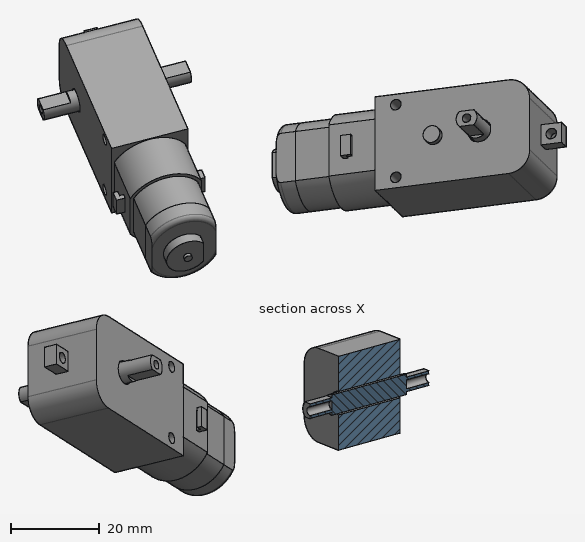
import cadquery as cq


tab_length = 4.9
tab_width = 3.2
tab_height = 4.85
block_end_x = 42.0
block_width = 18.15
block_height = 22.5
block_corner_radius = 5.05
mount_hole_diameter = 2.5
mount_hole_x = 37.0
mount_hole_z = 8.7

peg_diameter = 4.0
peg_length = 1.45
peg_x = 27.9

axle_x = 17.0
axle_diameter = 5.0
axle_bore_diameter = 5.5
axle_length = 35.0
axle_flat_length = 6.5
axle_flat_thickness = 3.6
axle_end_hole_diameter = 2.0

can_end_x = 61.6
cap_end_x = 66.25
motor_width = 15.25
motor_arc_radius = 8.95
motor_arc_offset = 1.25
cap_fillet = 1.1

collar_end_x = 53.3
collar_wall = 0.8

hook_end_x = 49.75
hook_length = 2.4
hook_height = 4.85
hook_reach = 2.1
hook_thickness = 1.1

boss_end_x = 68.55
boss_diameter = 9.85
boss_flat_y = 3.9
motor_shaft_end_x = 69.3
motor_shaft_diameter = 1.9


def box_between(x_start, x_end, width, height):
    """Box centred on the X axis."""
    return cq.Workplane("YZ", origin=(x_start, 0, 0)).rect(width, height).extrude(x_end - x_start)


def cylinder_along_y(x, z, diameter, y_start, y_end):
    """Round bar parallel to Y."""
    plane = cq.Plane(origin=(x, y_start, z), xDir=(1, 0, 0), normal=(0, 1, 0))
    return cq.Workplane(plane).circle(diameter / 2).extrude(y_end - y_start)


def flat_sided_bar(x_start, x_end, width, arc_radius, end_fillet=0):
    """Bar with rounded top and bottom and flat sides; only the rounded end edges are filleted."""
    height = 2 * (motor_arc_offset + arc_radius)
    bar = (
        cq.Workplane("YZ", origin=(x_start, 0, 0))
        .slot2D(height, 2 * arc_radius, 90)
        .extrude(x_end - x_start)
    )
    if end_fillet:
        bar = bar.faces(">X").edges().fillet(end_fillet)
    return bar.intersect(box_between(x_start, x_end, width, height))


def make_hook(side):
    """L-shaped strap hook on one flat of the collar; side is +1 or -1 along Y."""
    root_y = motor_width / 2 + collar_wall
    tip_y = root_y + hook_reach
    hook_start_x = hook_end_x - hook_length
    stem_start_x = hook_end_x - hook_thickness
    lip_y = tip_y - hook_thickness
    outline = [
        (hook_end_x, side * root_y),
        (hook_end_x, side * tip_y),
        (hook_start_x, side * tip_y),
        (hook_start_x, side * lip_y),
        (stem_start_x, side * lip_y),
        (stem_start_x, side * root_y),
    ]
    return cq.Workplane("XY").polyline(outline).close().extrude(hook_height / 2, both=True)


def make_housing():
    """Gearbox block with its tab, peg, motor collar and strap hooks."""
    half_width = block_width / 2
    housing = box_between(tab_length, block_end_x, block_width, block_height)
    housing = housing.edges("|Y and <X").fillet(block_corner_radius)
    housing = housing.union(box_between(0, tab_length, tab_width, tab_height))
    housing = housing.union(cylinder_along_y(peg_x, 0, peg_diameter, half_width, half_width + peg_length))
    collar_width = motor_width + 2 * collar_wall
    collar_radius = motor_arc_radius + collar_wall
    housing = housing.union(flat_sided_bar(block_end_x, collar_end_x, collar_width, collar_radius))
    for side in (-1, 1):
        housing = housing.union(make_hook(side))

    mount_holes = [(tab_length / 2, 0), (mount_hole_x, mount_hole_z), (mount_hole_x, -mount_hole_z)]
    for x, z in mount_holes:
        housing = housing.cut(cylinder_along_y(x, z, mount_hole_diameter, -half_width, half_width))
    return housing.cut(cylinder_along_y(axle_x, 0, axle_bore_diameter, -half_width, half_width))


def make_axle():
    """Double-ended axle with two flats and a blind centre hole at each end."""
    half_length = axle_length / 2
    axle = cylinder_along_y(axle_x, 0, axle_diameter, -half_length, half_length)
    for side in (-1, 1):
        end_y = side * half_length
        inner_y = side * (half_length - axle_flat_length)
        end_section = cylinder_along_y(axle_x, 0, axle_diameter, inner_y, end_y)
        flats = cq.Workplane("XY").box(axle_diameter, axle_length, axle_flat_thickness)
        axle = axle.cut(end_section.cut(flats.translate((axle_x, 0, 0))))
        axle = axle.cut(cylinder_along_y(axle_x, 0, axle_end_hole_diameter, inner_y, end_y))
    return axle


def make_motor_can():
    """Motor can between the collar and the end cap."""
    return flat_sided_bar(collar_end_x, can_end_x, motor_width, motor_arc_radius)


def make_motor_shaft():
    """Motor shaft, from the can through the cap to its free end."""
    length = motor_shaft_end_x - can_end_x
    return cq.Workplane("YZ", origin=(can_end_x, 0, 0)).circle(motor_shaft_diameter / 2).extrude(length)


def make_end_cap():
    """End cap with its single-flat boss, bored for the motor shaft."""
    cap = flat_sided_bar(can_end_x, cap_end_x, motor_width, motor_arc_radius, cap_fillet)
    boss_length = boss_end_x - cap_end_x
    boss = (
        cq.Workplane("YZ", origin=(cap_end_x, 0, 0))
        .circle(boss_diameter / 2)
        .extrude(boss_length)
    )
    beyond_flat = cq.Workplane("XY").box(
        boss_length, boss_diameter, boss_diameter, centered=(False, False, True)
    )
    boss = boss.cut(beyond_flat.translate((cap_end_x, boss_flat_y, 0)))
    return cap.union(boss).cut(make_motor_shaft())


housing = make_housing()
axle = make_axle()
motor_can = make_motor_can()
end_cap = make_end_cap()
motor_shaft = make_motor_shaft()

result = cq.Compound.makeCompound([
    housing.val(),
    axle.val(),
    motor_can.val(),
    end_cap.val(),
    motor_shaft.val(),
])